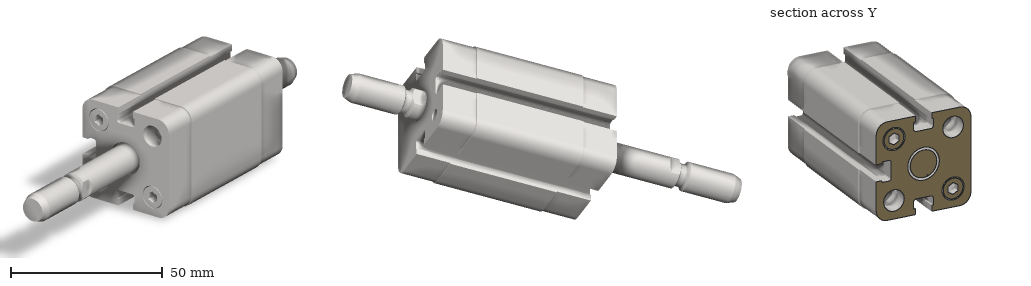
import cadquery as cq


TUBE_SIDE = 36.1
CAP_INSET = 0.35
TUBE_CORNER = 4.7
BODY_LENGTH = 63.0
CAP_LENGTH = 12.3

SLOT_ANGLES = (0, 180, -90)
SLOT_MOUTH = 5.9
SLOT_WIDTH = 7.2
SLOT_LIP = 2.7
SLOT_DEPTH = 5.9
SLOT_CORNER = 0.8

HOLE_OFFSET = 11.0
HOLE_DIAMETER = 4.1
COUNTERBORE_DIAMETER = 7.5
COUNTERBORE_DEPTH = 5.6
SCREW_RECESS_DIAMETER = 8.0
SCREW_RECESS_DEPTH = 5.6
SCREW_HEAD_DIAMETER = 7.5
SOCKET_FLATS = 3.5
SOCKET_DEPTH = 2.8

TOTAL_LENGTH = 141.0
STROKE = 25.0
ROD_DIAMETER = 10.0
GLAND_DIAMETER = 11.5
GLAND_DEPTH = 1.4
NECK_DIAMETER = 7.8
TIP_DIAMETER = 8.0
TIP_CHAMFER = 2.7
THREAD_LENGTH = 19.6
NECK_LENGTH = 2.3
NECK_CHAMFER = 0.7
FLAT_LENGTH = 3.5
FLAT_SPACING = 8.0

HALF_BODY = BODY_LENGTH / 2
REAR_ROD = (TOTAL_LENGTH - BODY_LENGTH - STROKE) / 2
FRONT_ROD = REAR_ROD + STROKE
ROD_RADIUS = ROD_DIAMETER / 2


def bar_along_y(sketch, length):
    """Extrude a sketch drawn on an XZ plane toward +Y."""
    return sketch.extrude(-length)


def xz_plane(y):
    return cq.Workplane("XZ", origin=(0, y, 0))


def rounded_block(side, corner, length):
    block = cq.Workplane("XY").box(side, length, side)
    return block.edges("|Y").fillet(corner)


def slot_cutter():
    """T-slot opening through the top side, along the whole body."""
    top = TUBE_SIDE / 2
    mouth = cq.Workplane("XY").box(SLOT_MOUTH, BODY_LENGTH, SLOT_DEPTH, centered=(True, True, False))
    mouth = mouth.translate((0, 0, top - SLOT_DEPTH))
    cavity_height = SLOT_DEPTH - SLOT_LIP
    cavity = cq.Workplane("XY").box(SLOT_WIDTH, BODY_LENGTH, cavity_height, centered=(True, True, False))
    cavity = cavity.edges("|Y and <Z").fillet(SLOT_CORNER)
    return mouth.union(cavity.translate((0, 0, top - SLOT_DEPTH)))


def make_body():
    """Barrel with a slightly smaller cap at each end, slotted over its whole length."""
    cap_side = TUBE_SIDE - 2 * CAP_INSET
    body = rounded_block(TUBE_SIDE, TUBE_CORNER, BODY_LENGTH - 2 * CAP_LENGTH)
    body = body.union(rounded_block(cap_side, TUBE_CORNER - CAP_INSET, BODY_LENGTH))
    for angle in SLOT_ANGLES:
        body = body.cut(slot_cutter().rotate((0, 0, 0), (0, 1, 0), angle))
    return body


def cut_corner_holes(body):
    """Through holes on one diagonal, counterbored from the front face."""
    centers = [(HOLE_OFFSET, HOLE_OFFSET), (-HOLE_OFFSET, -HOLE_OFFSET)]
    front = xz_plane(-HALF_BODY).pushPoints(centers)
    holes = bar_along_y(front.circle(HOLE_DIAMETER / 2), BODY_LENGTH)
    counterbores = bar_along_y(front.circle(COUNTERBORE_DIAMETER / 2), COUNTERBORE_DEPTH)
    return body.cut(holes).cut(counterbores)


def add_screws(body):
    """Socket-head screws on the other diagonal, flush with the front face."""
    centers = [(-HOLE_OFFSET, HOLE_OFFSET), (HOLE_OFFSET, -HOLE_OFFSET)]
    front = xz_plane(-HALF_BODY).pushPoints(centers)
    recesses = bar_along_y(front.circle(SCREW_RECESS_DIAMETER / 2), SCREW_RECESS_DEPTH)
    heads = bar_along_y(front.circle(SCREW_HEAD_DIAMETER / 2), SCREW_RECESS_DEPTH)
    sockets = bar_along_y(front.polygon(6, SOCKET_FLATS, circumscribed=True), SOCKET_DEPTH)
    return body.cut(recesses).union(heads).cut(sockets)


def make_rod(length):
    """Rod from the body centre to a tip standing out by length past the +Y body face."""
    tip = HALF_BODY + length
    neck_end = tip - THREAD_LENGTH
    neck_start = neck_end - NECK_LENGTH
    neck_radius = NECK_DIAMETER / 2
    rod = (
        cq.Workplane("XY")
        .lineTo(ROD_RADIUS, 0)
        .lineTo(ROD_RADIUS, neck_start - NECK_CHAMFER)
        .lineTo(neck_radius, neck_start)
        .lineTo(neck_radius, neck_end)
        .lineTo(ROD_RADIUS, neck_end + NECK_CHAMFER)
        .lineTo(ROD_RADIUS, tip - TIP_CHAMFER)
        .lineTo(TIP_DIAMETER / 2, tip)
        .lineTo(0, tip)
        .close()
        .revolve(360, (0, 0, 0), (0, 1, 0))
    )
    flat_x = FLAT_SPACING / 2
    flat_start = neck_start - FLAT_LENGTH
    runout = ROD_RADIUS - flat_x
    flat = (
        cq.Workplane("XY")
        .polyline([
            (flat_x, neck_start),
            (flat_x, flat_start),
            (flat_x + runout, flat_start - runout),
            (flat_x + runout, neck_start),
        ])
        .close()
        .extrude(ROD_RADIUS, both=True)
    )
    return rod.cut(flat).cut(flat.mirror("YZ"))


def cut_gland(body):
    """Shallow clearance around the rod at the front face."""
    gland = xz_plane(-HALF_BODY).circle(GLAND_DIAMETER / 2)
    return body.cut(bar_along_y(gland, GLAND_DEPTH))


body = cut_gland(add_screws(cut_corner_holes(make_body())))
rear_rod = make_rod(REAR_ROD)
front_rod = make_rod(FRONT_ROD).mirror("XZ")
result = body.union(rear_rod).union(front_rod)